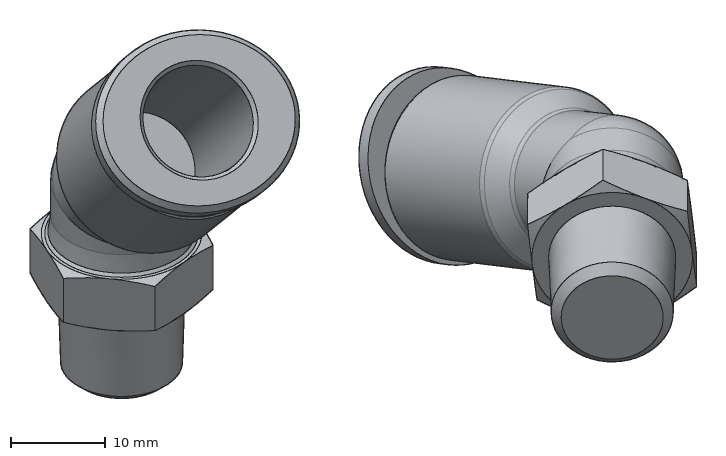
import cadquery as cq
import math

OVERALL_HEIGHT = 53.4

THREAD_TIP_RADIUS = 5.4
THREAD_CHAMFER_RADIUS = 6.45
THREAD_TOP_RADIUS = 6.75
THREAD_CHAMFER_HEIGHT = 1.0
HEX_ACROSS_FLATS = 17.0
HEX_BOTTOM = 10.9
HEX_TOP = 17.5
HEX_CHAMFER_ANGLE = 20.0
HEX_CORNER_RADIUS = HEX_ACROSS_FLATS / math.sqrt(3)
HEX_FLAT_RADIUS = HEX_ACROSS_FLATS / 2

SKIRT_RADIUS = 8.1
COLLAR_BASE_RADIUS = 7.8
COLLAR_BASE = HEX_TOP + SKIRT_RADIUS - COLLAR_BASE_RADIUS
COLLAR_TOP = 20.05

TUBE_RADIUS = 7.55
ELBOW_ANGLE = 45.0

BODY_RADIUS = 9.85
SHOULDER_START = 7.6
SHOULDER_END = 10.1
SHOULDER_FILLET = 0.85
BODY_END = 28.1
BODY_END_CHAMFER = 0.2
NECK_RADIUS = 7.1

FLANGE_WIDTH = 22.5
FLANGE_DEPTH = 2 * BODY_RADIUS
FLANGE_START = 29.9
FLANGE_THICKNESS = 2.35
FLANGE_CHAMFER = 0.65
FLANGE_END = FLANGE_START + FLANGE_THICKNESS

TILT = math.radians(ELBOW_ANGLE)
FLANGE_RISE = (FLANGE_END - FLANGE_CHAMFER) * math.cos(TILT) + FLANGE_DEPTH / 2 * math.sin(TILT)
ELBOW_HEIGHT = OVERALL_HEIGHT - FLANGE_RISE

BORE_RADIUS = 6.05
BORE_CHAMFER = 0.45
BORE_BOTTOM = SHOULDER_START


def turned(profile):
    """Revolve a closed (radius, height) outline about Z."""
    return cq.Workplane("XZ").polyline(profile).close().revolve(360, (0, 0, 0), (0, 1, 0))


def make_thread_and_collar():
    """Round core from the thread tip up to the elbow centre."""
    return turned([
        (0, 0),
        (THREAD_TIP_RADIUS, 0),
        (THREAD_CHAMFER_RADIUS, THREAD_CHAMFER_HEIGHT),
        (THREAD_TOP_RADIUS, HEX_BOTTOM),
        (SKIRT_RADIUS, HEX_BOTTOM),
        (SKIRT_RADIUS, HEX_TOP),
        (COLLAR_BASE_RADIUS, COLLAR_BASE),
        (TUBE_RADIUS, COLLAR_TOP),
        (TUBE_RADIUS, ELBOW_HEIGHT),
        (0, ELBOW_HEIGHT),
    ])


def make_hexagon():
    """Hexagon with corners on the X axis, both ends turned down to a shallow cone."""
    prism = (
        cq.Workplane("XY")
        .workplane(offset=HEX_BOTTOM)
        .polygon(6, 2 * HEX_CORNER_RADIUS)
        .extrude(HEX_TOP - HEX_BOTTOM)
    )
    corner_drop = (HEX_CORNER_RADIUS - HEX_FLAT_RADIUS) * math.tan(math.radians(HEX_CHAMFER_ANGLE))
    envelope = turned([
        (0, HEX_BOTTOM),
        (HEX_FLAT_RADIUS, HEX_BOTTOM),
        (HEX_CORNER_RADIUS, HEX_BOTTOM + corner_drop),
        (HEX_CORNER_RADIUS, HEX_TOP - corner_drop),
        (HEX_FLAT_RADIUS, HEX_TOP),
        (0, HEX_TOP),
    ])
    return prism.intersect(envelope)


def make_body():
    """Tube, conical shoulder and large body, built upright from the elbow centre."""
    body = turned([
        (0, 0),
        (TUBE_RADIUS, 0),
        (TUBE_RADIUS, SHOULDER_START),
        (BODY_RADIUS, SHOULDER_END),
        (BODY_RADIUS, BODY_END),
        (0, BODY_END),
    ])
    body = body.faces(">Z").chamfer(BODY_END_CHAMFER)
    margin = SHOULDER_FILLET / 2
    shoulder_zone = cq.selectors.BoxSelector(
        (-FLANGE_WIDTH, -FLANGE_WIDTH, SHOULDER_START - margin),
        (FLANGE_WIDTH, FLANGE_WIDTH, SHOULDER_END + margin),
    )
    return body.edges("%CIRCLE").edges(shoulder_zone).fillet(SHOULDER_FILLET)


def make_release_sleeve():
    """Round neck rising from the body end, capped by the oval flange."""
    neck = (
        cq.Workplane("XY")
        .workplane(offset=BODY_END)
        .circle(NECK_RADIUS)
        .extrude(FLANGE_START - BODY_END)
    )
    flange = (
        cq.Workplane("XY")
        .workplane(offset=FLANGE_START)
        .ellipse(FLANGE_DEPTH / 2, FLANGE_WIDTH / 2)
        .extrude(FLANGE_THICKNESS)
        .faces(">Z")
        .chamfer(FLANGE_CHAMFER)
    )
    return neck.union(flange)


def make_bore():
    """Blind socket that ends level with the start of the shoulder."""
    return turned([
        (0, BORE_BOTTOM),
        (BORE_RADIUS, BORE_BOTTOM),
        (BORE_RADIUS, FLANGE_END - BORE_CHAMFER),
        (BORE_RADIUS + BORE_CHAMFER, FLANGE_END),
        (0, FLANGE_END),
    ])


def tilted(shape):
    """Lean an upright shape toward +X and move its base to the elbow centre."""
    return shape.rotate((0, 0, 0), (0, 1, 0), ELBOW_ANGLE).translate((0, 0, ELBOW_HEIGHT))


elbow_ball = cq.Workplane("XY").sphere(TUBE_RADIUS).translate((0, 0, ELBOW_HEIGHT))
tilted_end = make_body().union(make_release_sleeve()).cut(make_bore())

result = make_thread_and_collar().union(make_hexagon()).union(elbow_ball).union(tilted(tilted_end))